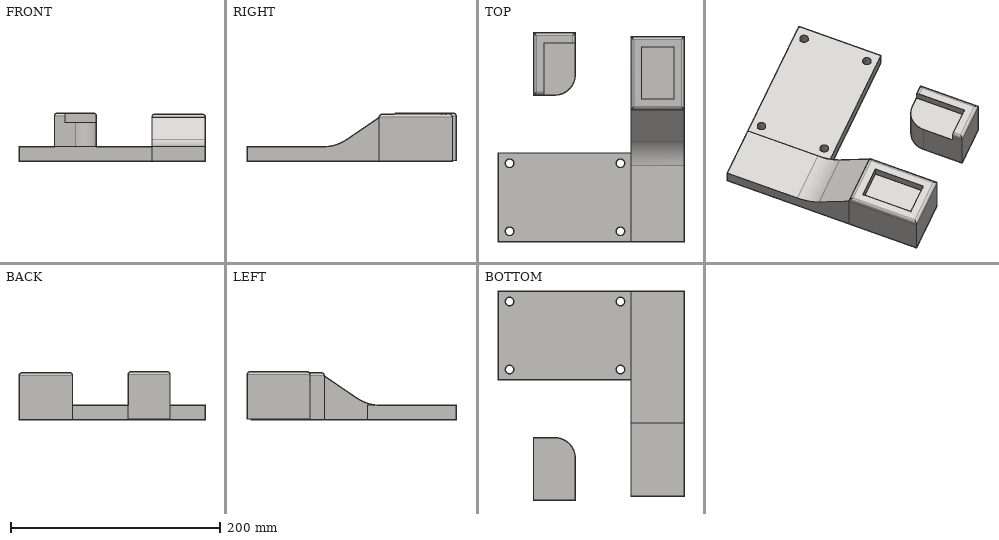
import cadquery as cq
import math

PLATE_LENGTH = 127.0
PLATE_WIDTH = 85.0
PLATE_THICKNESS = 14.0
HOLE_DIAMETER = 8.0
HOLE_MARGIN_X = 11.0
HOLE_MARGIN_Y = 10.0
HOLE_SPACING_X = 106.0

ARM_WIDTH = 51.2
ARM_LENGTH = 126.2
RAMP_FOOT_Y = 85.0
RAMP_TOP_Z = 42.0
RAMP_BLEND_RADIUS = 40.0

EDGE_RADIUS = 3.0
RIM_WIDTH = 10.2

PALM_LENGTH = 70.0
PALM_HEIGHT = 45.2
PALM_POCKET_DEPTH = 9.0

THUMB_X = 33.8
THUMB_Y = 140.0
THUMB_BOTTOM_Z = 0.5
THUMB_WIDTH = 40.2
THUMB_LENGTH = 60.0
THUMB_HEIGHT = 45.5
THUMB_STEP_DEPTH = 9.0
THUMB_CORNER_RADIUS = 20.0


def corner_box(width, length, height, origin):
    """Box whose lowest-coordinate corner sits at origin."""
    return cq.Workplane("XY").box(width, length, height, centered=False).translate(origin)


def make_plate():
    holes = [
        (HOLE_MARGIN_X + dx, y)
        for dx in (0, HOLE_SPACING_X)
        for y in (HOLE_MARGIN_Y, PLATE_WIDTH - HOLE_MARGIN_Y)
    ]
    drills = cq.Workplane("XY").pushPoints(holes).circle(HOLE_DIAMETER / 2).extrude(PLATE_THICKNESS)
    return corner_box(PLATE_LENGTH, PLATE_WIDTH, PLATE_THICKNESS, (0, 0, 0)).cut(drills)


def make_arm():
    angle = math.atan2(RAMP_TOP_Z - PLATE_THICKNESS, ARM_LENGTH - RAMP_FOOT_Y)
    tangent = RAMP_BLEND_RADIUS * math.tan(angle / 2)
    arc_start_y = RAMP_FOOT_Y - tangent
    arc_center_z = PLATE_THICKNESS + RAMP_BLEND_RADIUS

    def arc_point(turn):
        return (
            arc_start_y + RAMP_BLEND_RADIUS * math.sin(turn),
            arc_center_z - RAMP_BLEND_RADIUS * math.cos(turn),
        )

    return (
        cq.Workplane("YZ", origin=(PLATE_LENGTH, 0, 0))
        .moveTo(0, 0)
        .lineTo(0, PLATE_THICKNESS)
        .lineTo(arc_start_y, PLATE_THICKNESS)
        .threePointArc(arc_point(angle / 2), arc_point(angle))
        .lineTo(ARM_LENGTH, RAMP_TOP_Z)
        .lineTo(ARM_LENGTH, 0)
        .close()
        .extrude(ARM_WIDTH)
    )


def make_palm_block():
    block = corner_box(ARM_WIDTH, PALM_LENGTH, PALM_HEIGHT, (PLATE_LENGTH, ARM_LENGTH, 0))
    block = block.faces(">Z").edges().fillet(EDGE_RADIUS)
    pocket = corner_box(
        ARM_WIDTH - 2 * RIM_WIDTH,
        PALM_LENGTH - 2 * RIM_WIDTH,
        PALM_POCKET_DEPTH,
        (PLATE_LENGTH + RIM_WIDTH, ARM_LENGTH + RIM_WIDTH, PALM_HEIGHT - PALM_POCKET_DEPTH),
    )
    return block.cut(pocket)


def make_thumb_block():
    block = corner_box(THUMB_WIDTH, THUMB_LENGTH, THUMB_HEIGHT, (THUMB_X, THUMB_Y, THUMB_BOTTOM_Z))
    block = block.faces(">Z").edges().fillet(EDGE_RADIUS)
    step = corner_box(
        THUMB_WIDTH - RIM_WIDTH,
        THUMB_LENGTH - RIM_WIDTH,
        THUMB_STEP_DEPTH,
        (THUMB_X + RIM_WIDTH, THUMB_Y, THUMB_BOTTOM_Z + THUMB_HEIGHT - THUMB_STEP_DEPTH),
    )
    return block.cut(step).edges("|Z and >X and <Y").fillet(THUMB_CORNER_RADIUS)


plate = make_plate()
arm = make_arm()
palm_block = make_palm_block()
thumb_block = make_thumb_block()

result = cq.Compound.makeCompound([plate.val(), arm.val(), palm_block.val(), thumb_block.val()])